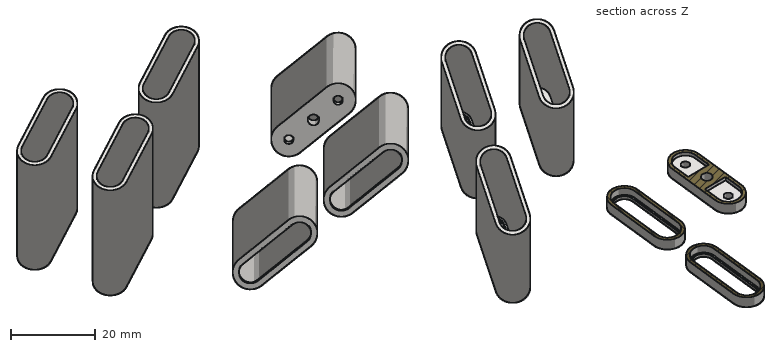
import cadquery as cq

BODY_WIDTH = 8.4
END_SPACING = 15.2
WALL = 1.0
X_SPACING = 19.45
Y_SPACING = 28.05

CAVITY_WIDTH = BODY_WIDTH - 2 * WALL

SLEEVE_HEIGHT = 42.0
LIP_WIDTH = 0.5
LIP_HEIGHT = 1.0

HOLDER_HEIGHT = 41.8
FLOOR_THICKNESS = 2.0
BLOCK_LENGTH = 6.05
BLOCK_HEIGHT = 2.0
CENTRE_HOLE_DIAMETER = 2.7
END_HOLE_DIAMETER = 2.2


def rounded_prism(width, height, bottom=0):
    """Upright prism with round ends centred END_SPACING apart along Y."""
    return (
        cq.Workplane("XY")
        .workplane(offset=bottom)
        .slot2D(END_SPACING + width, width, 90)
        .extrude(height)
    )


def make_sleeve():
    outside = rounded_prism(BODY_WIDTH, SLEEVE_HEIGHT)
    cavity = rounded_prism(CAVITY_WIDTH, SLEEVE_HEIGHT - LIP_HEIGHT, LIP_HEIGHT)
    lower_opening = rounded_prism(CAVITY_WIDTH - 2 * LIP_WIDTH, LIP_HEIGHT)
    return outside.cut(cavity).cut(lower_opening)


def make_holder():
    outside = rounded_prism(BODY_WIDTH, HOLDER_HEIGHT)
    cavity = rounded_prism(CAVITY_WIDTH, HOLDER_HEIGHT - FLOOR_THICKNESS, FLOOR_THICKNESS)

    block_top = FLOOR_THICKNESS + BLOCK_HEIGHT
    block = cq.Workplane("XY").box(
        CAVITY_WIDTH, BLOCK_LENGTH, block_top, centered=(True, True, False)
    )

    centre_hole = cq.Workplane("XY").circle(CENTRE_HOLE_DIAMETER / 2).extrude(block_top)
    end_holes = (
        cq.Workplane("XY")
        .pushPoints([(0, -END_SPACING / 2), (0, END_SPACING / 2)])
        .circle(END_HOLE_DIAMETER / 2)
        .extrude(FLOOR_THICKNESS)
    )
    return outside.cut(cavity).union(block).cut(centre_hole).cut(end_holes)


holder = make_holder()

sleeves = []
for row in range(2):
    sleeve = make_sleeve().translate((X_SPACING, row * Y_SPACING, 0))
    sleeves.append(sleeve.solids().val())

result = cq.Compound.makeCompound([holder.solids().val(), *sleeves])